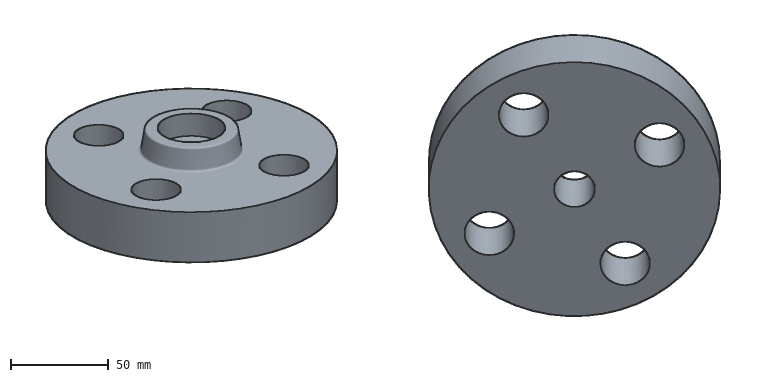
import cadquery as cq
import math

flange_diameter = 149.3
flange_thickness = 28.5
total_height = 41.2

hub_base_diameter = 52.0
hub_top_diameter = 47.8
hub_root_fillet = 1.5
hub_top_fillet = 1.2

bore_diameter = 20.9
socket_diameter = 34.6
socket_depth = 12.7

bolt_hole_count = 4
bolt_hole_diameter = 25.4
bolt_circle_diameter = 101.5

hub_height = total_height - flange_thickness
hub_taper = math.degrees(math.atan((hub_base_diameter - hub_top_diameter) / 2 / hub_height))


def make_flange():
    return cq.Workplane("XY").circle(flange_diameter / 2).extrude(flange_thickness)


def add_hub(body):
    hub = (
        cq.Workplane("XY", origin=(0, 0, flange_thickness))
        .circle(hub_base_diameter / 2)
        .extrude(hub_height, taper=hub_taper)
        .faces(">Z")
        .edges()
        .fillet(hub_top_fillet)
    )
    body = body.union(hub)
    root_box = cq.selectors.BoxSelector(
        (-hub_base_diameter, -hub_base_diameter, flange_thickness - hub_root_fillet),
        (hub_base_diameter, hub_base_diameter, flange_thickness + hub_root_fillet),
        boundingbox=True,
    )
    return body.edges(root_box).fillet(hub_root_fillet)


def cut_socket_and_bore(body):
    bore = cq.Workplane("XY").circle(bore_diameter / 2).extrude(total_height)
    socket_floor = total_height - socket_depth
    socket = (
        cq.Workplane("XY", origin=(0, 0, socket_floor))
        .circle(socket_diameter / 2)
        .extrude(socket_depth)
    )
    return body.cut(bore).cut(socket)


def cut_bolt_holes(body):
    holes = (
        cq.Workplane("XY")
        .polarArray(bolt_circle_diameter / 2, 0, 360, bolt_hole_count)
        .circle(bolt_hole_diameter / 2)
        .extrude(flange_thickness)
    )
    return body.cut(holes)


result = cut_bolt_holes(cut_socket_and_bore(add_hub(make_flange())))